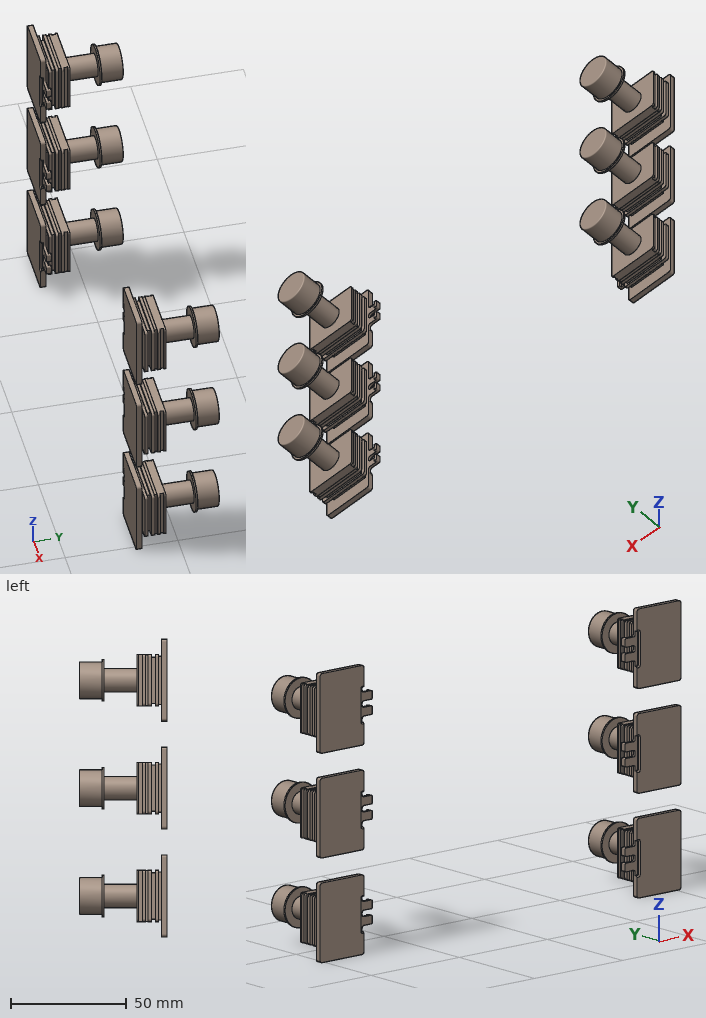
import cadquery as cq

OVERALL_X = 205.0
ROW_COUNT = 3
ROW_PITCH = 46.5

PLATE_X = 25.0
PLATE_Y = 2.5
PLATE_Z = 35.5
CORNER_R = 1.2

NOTCH_X = 1.2
NOTCH_Z = 15.5
NOTCH_R = 0.6
NOTCH_CHAMFER = 0.6

TAB_REACH = 5.7
TAB_Y = 1.2
TAB_SPAN_Z = 10.7
TAB_GAP_Z = 2.9
TAB_ROOT_R = 1.0
TAB_TIP_R = 0.6
HOOK_X = 1.5
HOOK_RISE = 1.0

FIN_X = PLATE_X
FIN_Z = 22.3
STACK_BACK_Y = 13.1
FIN_SPANS = [(3.7, 5.1), (6.8, 8.2), (9.5, 10.7), (12.3, STACK_BACK_Y)]
CORES = [
    (4.3, 1.8, 21.0),
    (2.9, 1.8, 20.0),
    (1.5, 1.0, 22.1),
    (1.5, 1.0, FIN_Z),
]

STEM_D = 10.2
COLLAR_D = 18.0
COLLAR_Y = 27.3
COLLAR_THICKNESS = 0.8
KNOB_D = 16.0
KNOB_END_Y = 38.0
KNOB_END_R = 0.51


def slab(x_min, x_max, y_min, y_max, height):
    """Box centred on Z = 0."""
    center = ((x_min + x_max) / 2, (y_min + y_max) / 2, 0)
    return cq.Workplane("XY").box(x_max - x_min, y_max - y_min, height).translate(center)


def disc(diameter, y_min, y_max):
    """Cylinder on the button axis."""
    return (
        cq.Workplane("XZ", origin=(0, y_min, 0))
        .circle(diameter / 2)
        .extrude(-(y_max - y_min))
    )


def front_plate():
    half_x = PLATE_X / 2
    plate = slab(-half_x, half_x, 0, PLATE_Y, PLATE_Z).edges("|Y").fillet(CORNER_R)
    notch = slab(half_x - NOTCH_X, half_x + NOTCH_X, 0, PLATE_Y - TAB_Y, NOTCH_Z)
    notch = notch.edges("|Y and <X").fillet(NOTCH_R)
    notched = plate.cut(notch)
    rim = cq.selectors.BoxSelector(
        (half_x - NOTCH_X - NOTCH_R, -NOTCH_CHAMFER, -NOTCH_Z / 2 - NOTCH_R),
        (half_x - NOTCH_CHAMFER / 2, NOTCH_CHAMFER, NOTCH_Z / 2 + NOTCH_R),
    )
    return notched.edges(rim).chamfer(NOTCH_CHAMFER)


def contact_tabs():
    root_x = PLATE_X / 2
    tip_x = root_x + TAB_REACH
    base_x = root_x - NOTCH_X
    tab_front_y = PLATE_Y - TAB_Y
    base = slab(base_x, root_x, tab_front_y, PLATE_Y, NOTCH_Z)
    blades = slab(root_x, tip_x, tab_front_y, PLATE_Y, TAB_SPAN_Z)
    gap = slab(root_x, tip_x, 0, PLATE_Y + HOOK_RISE, TAB_GAP_Z)
    root_edges = cq.selectors.BoxSelector(
        (base_x, 0, -TAB_SPAN_Z / 2 - TAB_ROOT_R),
        (root_x + TAB_ROOT_R, PLATE_Y, TAB_SPAN_Z / 2 + TAB_ROOT_R),
    )
    sheet = base.union(blades.cut(gap)).edges("|Y").edges(root_edges)
    hooks = slab(tip_x - HOOK_X, tip_x, PLATE_Y, PLATE_Y + HOOK_RISE, TAB_SPAN_Z).cut(gap)
    return sheet.fillet(TAB_ROOT_R).union(hooks).edges("|Y and >X").fillet(TAB_TIP_R)


def finned_stack():
    half_x = FIN_X / 2
    stack = cq.Workplane("XY")
    core_front_y = PLATE_Y
    for (fin_front_y, fin_back_y), (left_inset, right_inset, core_z) in zip(FIN_SPANS, CORES):
        core = slab(left_inset - half_x, half_x - right_inset, core_front_y, fin_front_y, core_z)
        fin = slab(-half_x, half_x, fin_front_y, fin_back_y, FIN_Z).edges("|Y").fillet(CORNER_R)
        stack = stack.union(core).union(fin)
        core_front_y = fin_back_y
    return stack


def stem_and_knob():
    stem = disc(STEM_D, STACK_BACK_Y, COLLAR_Y)
    collar = disc(COLLAR_D, COLLAR_Y, COLLAR_Y + COLLAR_THICKNESS)
    knob = disc(KNOB_D, COLLAR_Y + COLLAR_THICKNESS, KNOB_END_Y).faces(">Y").edges().fillet(KNOB_END_R)
    return stem.union(collar).union(knob)


def push_button():
    """Button centred on X = Z = 0 with its tabs toward +X."""
    return front_plate().union(contact_tabs()).union(finned_stack()).union(stem_and_knob())


column_x = (OVERALL_X - PLATE_X) / 2
left_button = push_button().translate((-column_x, 0, 0))
right_button = left_button.mirror("YZ")

buttons = []
for row in range(ROW_COUNT):
    row_z = (row - (ROW_COUNT - 1) / 2) * ROW_PITCH
    for button in (left_button, right_button):
        buttons.append(button.translate((0, 0, row_z)).val())

result = cq.Compound.makeCompound(buttons)